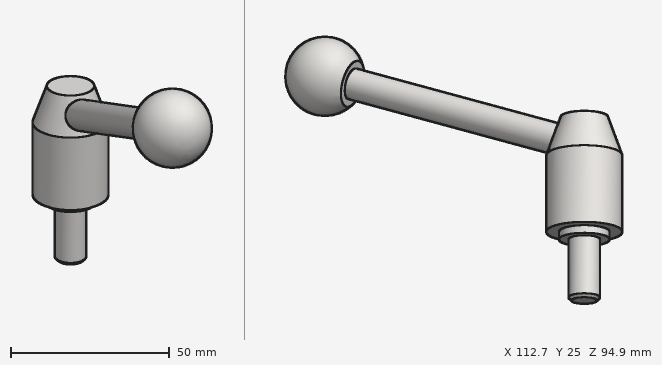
import cadquery as cq
import math

stud_diameter = 10.0
stud_length = 20.0
stud_chamfer = 1.0
collar_diameter = 16.0
collar_height = 2.5
hub_diameter = 24.0
hub_top_diameter = 15.0
hub_cylinder_height = 25.0
hub_cone_height = 12.5

overall_length = 112.7
overall_height = 94.9
ball_diameter = 25.0
ball_flat_distance = 10.0
arm_diameter = 10.0
arm_angle = 20

collar_top = stud_length + collar_height
hub_shoulder = collar_top + hub_cylinder_height
hub_top = hub_shoulder + hub_cone_height
ball_radius = ball_diameter / 2
ball_x = overall_length - hub_diameter / 2 - ball_radius
ball_z = overall_height - ball_radius


def make_body():
    """Revolve the stud, collar and hub about the Z axis."""
    stud_radius = stud_diameter / 2
    profile = [
        (0, 0),
        (stud_radius - stud_chamfer, 0),
        (stud_radius, stud_chamfer),
        (stud_radius, stud_length),
        (collar_diameter / 2, stud_length),
        (collar_diameter / 2, collar_top),
        (hub_diameter / 2, collar_top),
        (hub_diameter / 2, hub_shoulder),
        (hub_top_diameter / 2, hub_top),
        (0, hub_top),
    ]
    outline = cq.Workplane("XZ").polyline(profile).close()
    return outline.revolve(360, (0, 0, 0), (0, 1, 0))


def make_arm():
    """Run the arm from the hub axis to the ball centre."""
    arm_length = ball_x / math.cos(math.radians(arm_angle))
    arm_start_z = ball_z - ball_x * math.tan(math.radians(arm_angle))
    arm = cq.Workplane("YZ").circle(arm_diameter / 2).extrude(arm_length)
    arm = arm.rotate((0, 0, 0), (0, 1, 0), -arm_angle)
    return arm.translate((0, 0, arm_start_z))


def make_ball():
    """Cut a flat across the ball, square to the arm."""
    keep = cq.Workplane("XY").box(
        ball_flat_distance + ball_radius, ball_diameter, ball_diameter
    ).translate(((ball_radius - ball_flat_distance) / 2, 0, 0))
    ball = cq.Workplane("XY").sphere(ball_radius).intersect(keep)
    ball = ball.rotate((0, 0, 0), (0, 1, 0), -arm_angle)
    return ball.translate((ball_x, 0, ball_z))


result = make_body().union(make_arm()).union(make_ball())